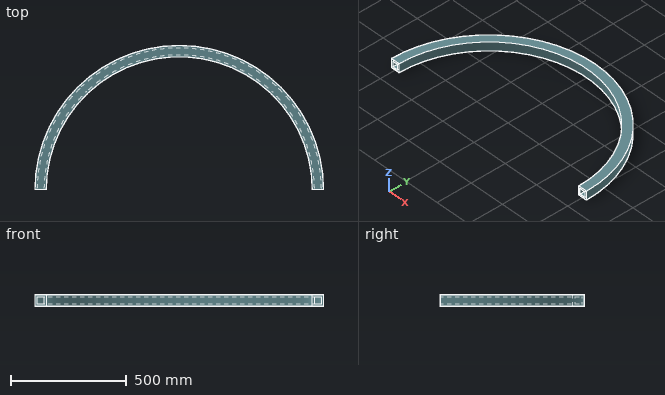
import cadquery as cq

outer_diameter = 1250.0
tube_size = 50.0
wall = 10.0

outer_radius = outer_diameter / 2
center_radius = outer_radius - tube_size / 2
bore_size = tube_size - 2 * wall
bend_angle = 180.0


def half_ring(section_size):
    """Square section swept half a turn about Z, on the +Y side."""
    return (
        cq.Workplane("XZ")
        .center(center_radius, 0)
        .rect(section_size, section_size)
        .revolve(bend_angle, (-center_radius, 0), (-center_radius, 1))
    )


result = half_ring(tube_size).cut(half_ring(bore_size))